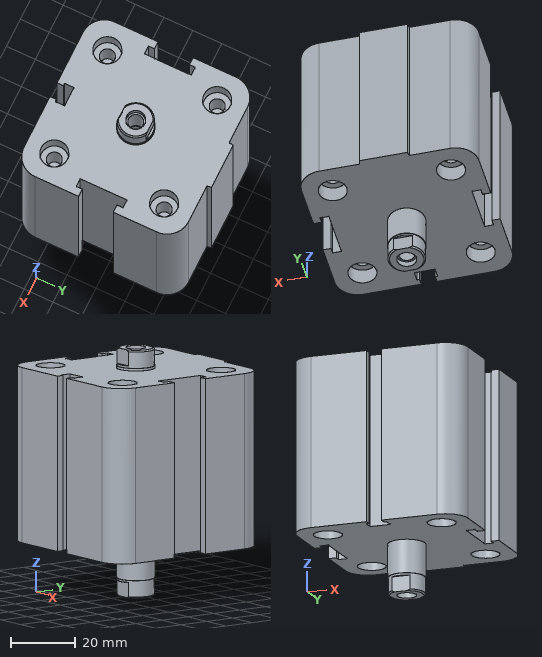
import cadquery as cq

ROD_LENGTH = 78.5
BODY_WIDTH = 57.0
BODY_HEIGHT = 55.6
BODY_BOTTOM = 16.5
CORNER_RADIUS = 7.45
HALF_WIDTH = BODY_WIDTH / 2

OVERALL_DEPTH = 58.5
PAD_HEIGHT = OVERALL_DEPTH - BODY_WIDTH
PAD_BASE_WIDTH = 16.0
PAD_TOP_WIDTH = 15.4

SIDE_SLOT_MOUTH = 12.0
SIDE_SLOT_WIDTH = 16.2
SIDE_SLOT_LIP = 2.7
SIDE_SLOT_DEPTH = 5.5
FRONT_SLOT_MOUTH = 4.95
FRONT_SLOT_WIDTH = 6.7
FRONT_SLOT_LIP = 2.3
FRONT_SLOT_DEPTH = 5.5

MOUNT_PITCH = 38.0
COUNTERBORE_DIAMETER = 9.0
COUNTERBORE_DEPTH = 5.5
MOUNT_HOLE_DIAMETER = 4.95
MOUNT_HOLE_DEPTH = 14.5

ROD_DIAMETER = 12.0
TIP_DIAMETER = 11.7
TIP_LENGTH = 5.65
TIP_CHAMFER = 0.5
FLAT_LENGTH = 4.95
ACROSS_FLATS = 10.0
ROD_BORE_DIAMETER = 4.5
THREAD_HOLE_DIAMETER = 4.95
THREAD_HOLE_DEPTH = 12.0
ROD_RECESS_DIAMETER = 6.2
ROD_RECESS_DEPTH = 2.0


def t_slot(mouth, width, lip, depth):
    """T-slot cutter on the -Y face: a narrow mouth through the lip, then a wider channel."""
    y_face = -HALF_WIDTH
    return (
        cq.Workplane("XY", origin=(0, 0, BODY_BOTTOM))
        .moveTo(-mouth / 2, y_face)
        .lineTo(-mouth / 2, y_face + lip)
        .lineTo(-width / 2, y_face + lip)
        .lineTo(-width / 2, y_face + depth)
        .lineTo(width / 2, y_face + depth)
        .lineTo(width / 2, y_face + lip)
        .lineTo(mouth / 2, y_face + lip)
        .lineTo(mouth / 2, y_face)
        .close()
        .extrude(BODY_HEIGHT)
    )


def raised_pad():
    """Full-height pad on the +Y face with slightly leaning sides."""
    return (
        cq.Workplane("XY", origin=(0, 0, BODY_BOTTOM))
        .moveTo(-PAD_BASE_WIDTH / 2, HALF_WIDTH)
        .lineTo(-PAD_TOP_WIDTH / 2, HALF_WIDTH + PAD_HEIGHT)
        .lineTo(PAD_TOP_WIDTH / 2, HALF_WIDTH + PAD_HEIGHT)
        .lineTo(PAD_BASE_WIDTH / 2, HALF_WIDTH)
        .close()
        .extrude(BODY_HEIGHT)
    )


def drill_mounting_holes(body, face):
    """Four blind counterbored holes in one end face."""
    return (
        body.faces(face)
        .workplane(origin=(0, 0, 0))
        .rect(MOUNT_PITCH, MOUNT_PITCH, forConstruction=True)
        .vertices()
        .cboreHole(MOUNT_HOLE_DIAMETER, COUNTERBORE_DIAMETER, COUNTERBORE_DEPTH, MOUNT_HOLE_DEPTH)
    )


def make_housing():
    """Square cylinder housing with rounded corners, a pad, T-slots and a bore for the rod."""
    body = (
        cq.Workplane("XY", origin=(0, 0, BODY_BOTTOM))
        .rect(BODY_WIDTH, BODY_WIDTH)
        .extrude(BODY_HEIGHT)
        .edges("|Z")
        .fillet(CORNER_RADIUS)
        .union(raised_pad())
    )
    side_slot = t_slot(SIDE_SLOT_MOUTH, SIDE_SLOT_WIDTH, SIDE_SLOT_LIP, SIDE_SLOT_DEPTH)
    for angle in (-90, 90):
        body = body.cut(side_slot.rotate((0, 0, 0), (0, 0, 1), angle))
    body = body.cut(t_slot(FRONT_SLOT_MOUTH, FRONT_SLOT_WIDTH, FRONT_SLOT_LIP, FRONT_SLOT_DEPTH))
    for face in (">Z", "<Z"):
        body = drill_mounting_holes(body, face)
    return body.cut(cq.Workplane("XY").circle(ROD_DIAMETER / 2).extrude(ROD_LENGTH))


def rod_tip():
    """Upper rod end: reduced, chamfered cylinder with two wrench flats facing -Y and +Y."""
    tip = (
        cq.Workplane("XY", origin=(0, 0, ROD_LENGTH - TIP_LENGTH))
        .circle(TIP_DIAMETER / 2)
        .extrude(TIP_LENGTH)
        .faces(">Z")
        .chamfer(TIP_CHAMFER)
    )
    flat_depth = TIP_DIAMETER - ACROSS_FLATS
    for side in (-1, 1):
        cutter = cq.Workplane("XY").box(TIP_DIAMETER, flat_depth, FLAT_LENGTH)
        y_center = side * (ACROSS_FLATS + flat_depth) / 2
        tip = tip.cut(cutter.translate((0, y_center, ROD_LENGTH - FLAT_LENGTH / 2)))
    return tip


def rod_end_hole():
    """Cutter for the upper end: a shallow recess around a deeper thread hole."""
    return (
        cq.Workplane("XY", origin=(0, 0, ROD_LENGTH))
        .circle(ROD_RECESS_DIAMETER / 2)
        .extrude(-ROD_RECESS_DEPTH)
        .union(
            cq.Workplane("XY", origin=(0, 0, ROD_LENGTH))
            .circle(THREAD_HOLE_DIAMETER / 2)
            .extrude(-THREAD_HOLE_DEPTH)
        )
    )


def make_rod():
    """Hollow through-rod with the same tip and stepped hole at both ends."""
    tip = rod_tip()
    end_hole = rod_end_hole()
    mid_height = (0, 0, ROD_LENGTH / 2)
    return (
        cq.Workplane("XY", origin=(0, 0, TIP_LENGTH))
        .circle(ROD_DIAMETER / 2)
        .extrude(ROD_LENGTH - 2 * TIP_LENGTH)
        .union(tip)
        .union(tip.mirror("XY", mid_height))
        .cut(cq.Workplane("XY").circle(ROD_BORE_DIAMETER / 2).extrude(ROD_LENGTH))
        .cut(end_hole)
        .cut(end_hole.mirror("XY", mid_height))
    )


housing = make_housing()
rod = make_rod()
result = cq.Compound.makeCompound([housing.solids().val(), rod.solids().val()])